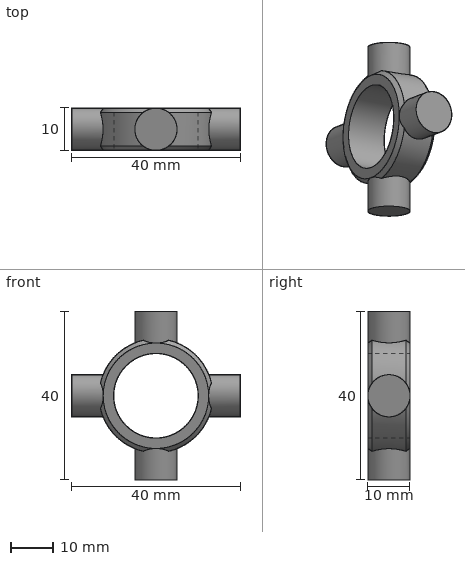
import cadquery as cq

span = 40.0
pin_diameter = 10.0
bore_diameter = 20.0
ring_diameter = 27.0
ring_width = pin_diameter
chamfer = 1.0
pin_count = 4

bore_radius = bore_diameter / 2
ring_radius = ring_diameter / 2
pin_start = (bore_radius + ring_radius) / 2
pin_length = span / 2 - pin_start


def make_blank():
    """Solid chamfered disc, axis along Y and centred on the origin."""
    disc = cq.Workplane("XZ").circle(ring_radius).extrude(ring_width / 2, both=True)
    return disc.faces("<Y or >Y").edges().chamfer(chamfer)


def make_pin(angle):
    """Radial pin reaching from the ring wall to its tip, turned about Y by angle."""
    pin = cq.Workplane("YZ").workplane(offset=pin_start).circle(pin_diameter / 2).extrude(pin_length)
    return pin.rotate((0, 0, 0), (0, 1, 0), angle)


def make_bore():
    """Cylinder that opens the ring right through along Y."""
    return cq.Workplane("XZ").circle(bore_radius).extrude(ring_width, both=True)


cross = make_blank()
for index in range(pin_count):
    cross = cross.union(make_pin(index * 360 / pin_count))

result = cross.cut(make_bore())